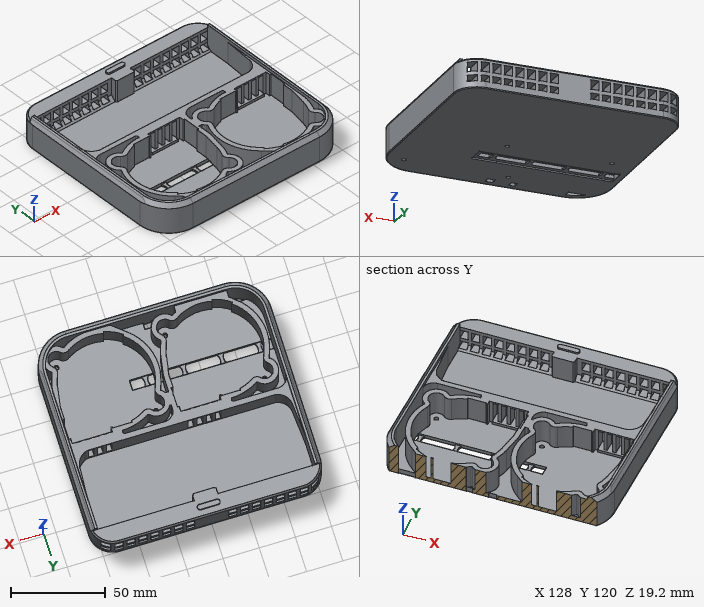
import cadquery as cq
import math

length = 128.0
width = 120.0
bottom_z = -9.6
rim_z = 9.6
deck_z = 7.5
floor_z = -6.7
front_corner_radius = 20.0
rear_corner_radius = 13.0
bottom_chamfer = 0.5
rear_chamfer = 0.9
rim_chamfer = 2.4
half_length = length / 2
half_width = width / 2

side_bevel_z = 6.7
side_bevel_slope = 0.75

side_wall = 3.8
front_wall = 4.0
cavity_half = half_length - side_wall
cavity_front = -half_width + front_wall
shelf_front = 49.9

bay_front = 6.7
bay_taper_end = 33.3
bay_corner_half = 58.8
bay_corner_top = 13.6
bay_flat_half = 51.7
bay_corner_mid = (56.6, 9.2)
ramp_depth = 3.0

window_count = 8
window_pitch = 6.59
window_width = 4.6
first_window_x = 11.6
window_rows = ((0.0, 5.4), (floor_z + 1.0, -2.2))

latch_length = 13.0
latch_front = 46.1
latch_chamfer = 0.8
key_length = 12.5
key_width = 3.0
key_y = 54.4
key_height = 1.0

fan_centers = ((-28.74, -27.0), (31.4, -27.0))
screw_offset = (21.57, -19.2)
screw_diameter = 2.4
scroll_radius = 26.0
scroll_shift = (-0.19, -0.4)
ear_radius = 4.5
ear_blend = 3.6
housing_wall = 3.0
outlet_right = 27.4
outlet_left = 5.2
outlet_top = 27.6
outlet_tangent_angle = math.radians(-10)
buttress_angle = math.radians(-130)

relief = 1.0
side_relief_y = (13.7, 24.8)
top_relief_x = (-6.3, 4.4)
top_relief_y = 25.7
scroll_relief_angles = (-127, -104)

opening_count = 4
opening_width = 3.1
opening_pitch = 5.0
opening_start = 7.2
opening_lintel = 1.0
sill_height = 1.5
sill_depth = 1.4

void_top = 3.6
void_corner_radius = 6.0
void_tip_radius = 0.8
left_void_right = -28.9
left_void_split = -10.2
left_channel_right = -44.3
right_void_x = (2.4, 31.2)
right_void_bottom = -4.2
middle_void_x = (-15.1, 25.6)
middle_void_top = -11.8
corner_void_left = 34.5
corner_void_top = -25.6

vent_y = (-28.0, -22.3)
vent_x = (-cavity_half, 18.2)
vent_rib_x = -53.0
vent_rib_pitch = 20.9
vent_rib_count = 4
vent_rib_waist = 1.9
vent_rib_flare = 3.8
vent_rib_drop = 1.0
vent_rib_thickness = 1.0
vent_groove_margin = 2.5
front_slot_top = -52.5
front_slots_x = ((-56.3, -44.3), (-15.1, -11.6), (-2.4, 1.9))


def box(x0, x1, y0, y1, z0, z1):
    return cq.Workplane("XY").box(x1 - x0, y1 - y0, z1 - z0, centered=False).translate((x0, y0, z0))


def tray_block(top_z):
    """Solid block with the rounded outline of the tray."""
    block = box(-half_length, half_length, -half_width, half_width, bottom_z, top_z)
    block = block.edges("|Z and >Y").fillet(rear_corner_radius)
    return block.edges("|Z and <Y").fillet(front_corner_radius)


def outer_shell():
    """Outer block with its front rim, lower rear shelf and bevelled upper edges."""
    block = tray_block(rim_z)
    block = block.faces("<Z").chamfer(bottom_chamfer)
    rim = box(-half_length, half_length, -half_width, width, bottom_z, rim_z)
    rim = rim.edges("|Z and <Y").fillet(front_corner_radius)
    rim = rim.faces(">Z").chamfer(rim_chamfer)
    rim = rim.intersect(box(-length, length, -width, shelf_front, bottom_z, rim_z))
    shelf = tray_block(deck_z)
    shelf = shelf.faces(">Z").chamfer(rear_chamfer)
    shelf = shelf.intersect(box(-length, length, shelf_front, width, bottom_z, deck_z))
    shell = block.intersect(rim.union(shelf))
    bevel_run = side_bevel_slope * (rim_z - side_bevel_z)
    for side in (-1, 1):
        bevel = (
            cq.Workplane("XZ")
            .polyline([
                (side * half_length, side_bevel_z),
                (side * (half_length - bevel_run), rim_z),
                (side * half_length, rim_z),
            ])
            .close()
            .extrude(half_width, both=True)
        )
        shell = shell.cut(bevel)
    return shell


def cavity(z0, z1):
    """Plan area inside the side and front walls, up to the rear shelf."""
    inner_radius = front_corner_radius - front_wall
    block = box(-cavity_half, cavity_half, cavity_front, shelf_front, z0, z1)
    return block.edges("|Z and <Y").fillet(inner_radius)


def rear_bay():
    """Rear compartment with tapered sides and a ramp at the foot of the rear wall."""
    mid_x, mid_y = bay_corner_mid
    bay = (
        cq.Workplane("XY", origin=(0, 0, floor_z))
        .moveTo(-cavity_half, shelf_front)
        .lineTo(-cavity_half, bay_taper_end)
        .lineTo(-bay_corner_half, bay_corner_top)
        .threePointArc((-mid_x, mid_y), (-bay_flat_half, bay_front))
        .lineTo(bay_flat_half, bay_front)
        .threePointArc((mid_x, mid_y), (bay_corner_half, bay_corner_top))
        .lineTo(cavity_half, bay_taper_end)
        .lineTo(cavity_half, shelf_front)
        .close()
        .extrude(deck_z - floor_z)
    )
    ramp = (
        cq.Workplane("YZ")
        .polyline([
            (shelf_front, floor_z),
            (shelf_front - ramp_depth, floor_z),
            (shelf_front, floor_z + ramp_depth),
        ])
        .close()
        .extrude(cavity_half, both=True)
    )
    latch = box(-latch_length / 2, latch_length / 2, latch_front, shelf_front, floor_z, deck_z)
    latch = latch.edges("|Z and <Y").chamfer(latch_chamfer)
    return bay.cut(ramp).cut(latch)


def rear_windows():
    windows = cq.Workplane("XY")
    for side in (-1, 1):
        for index in range(window_count):
            x = side * (first_window_x + index * window_pitch)
            for z0, z1 in window_rows:
                windows = windows.add(
                    box(x - window_width / 2, x + window_width / 2, shelf_front - ramp_depth, half_width, z0, z1)
                )
    return windows.combine()


def scroll(growth):
    """Blower plan shape about the fan center, grown outward by the given amount."""
    height = deck_z - floor_z
    radius = scroll_radius + growth
    shift_x, shift_y = scroll_shift
    body = cq.Workplane("XY", origin=(0, 0, floor_z)).center(shift_x, shift_y).circle(radius).extrude(height)
    for sign in (-1, 1):
        ear = (
            cq.Workplane("XY", origin=(0, 0, floor_z))
            .center(sign * screw_offset[0], sign * screw_offset[1])
            .circle(ear_radius + growth)
            .extrude(height)
        )
        body = body.union(ear)
    reach = ear_radius + housing_wall
    for sign in (-1, 1):
        x = sign * screw_offset[0]
        y = sign * screw_offset[1]
        near_ear = cq.selectors.BoxSelector(
            (x - reach, y - reach, floor_z - 1.3), (x + reach, y + reach, deck_z + 1.3)
        )
        body = body.edges("|Z").edges(near_ear).fillet(ear_blend - growth)
    tangent_x = shift_x + radius * math.cos(outlet_tangent_angle)
    tangent_y = shift_y + radius * math.sin(outlet_tangent_angle)
    right = outlet_right + growth
    straight_y = tangent_y - (right - tangent_x) / math.tan(outlet_tangent_angle)
    outlet = (
        cq.Workplane("XY", origin=(0, 0, floor_z))
        .polyline([
            (shift_x, shift_y),
            (tangent_x, tangent_y),
            (right, straight_y),
            (right, outlet_top + growth),
            (outlet_left - growth, outlet_top + growth),
            (outlet_left - growth, shift_y),
        ])
        .close()
        .extrude(height)
    )
    return body.union(outlet)


def scroll_relief():
    """Sector of slightly larger radius at the lower left of the scroll."""
    radius = scroll_radius + relief
    start, end = (math.radians(angle) for angle in scroll_relief_angles)
    middle = (start + end) / 2

    def rim_point(angle):
        return (radius * math.cos(angle), radius * math.sin(angle))

    return (
        cq.Workplane("XY", origin=(0, 0, floor_z))
        .lineTo(*rim_point(start))
        .threePointArc(rim_point(middle), rim_point(end))
        .close()
        .extrude(deck_z - floor_z)
        .translate((*scroll_shift, 0))
    )


def fan_pocket():
    """Blower pocket about the fan center with reliefs, outlet openings, sill and screw holes."""
    pocket = scroll(0).union(scroll_relief())
    pocket = pocket.union(box(0, outlet_right + relief, *side_relief_y, floor_z, deck_z))
    pocket = pocket.union(box(*top_relief_x, 0, top_relief_y, floor_z, deck_z))
    sill_z = floor_z + sill_height
    opening_end = opening_start + (opening_count - 1) * opening_pitch + opening_width
    pocket = pocket.cut(
        box(opening_start, opening_end, outlet_top - sill_depth, outlet_top, floor_z, sill_z)
    )
    bay_y = bay_front - fan_centers[0][1]
    for index in range(opening_count):
        x = opening_start + index * opening_pitch
        pocket = pocket.union(
            box(x, x + opening_width, outlet_top, bay_y, sill_z, deck_z - opening_lintel)
        )
    for sign in (-1, 1):
        hole = (
            cq.Workplane("XY", origin=(0, 0, bottom_z))
            .center(sign * screw_offset[0], sign * screw_offset[1])
            .circle(screw_diameter / 2)
            .extrude(floor_z - bottom_z)
        )
        pocket = pocket.union(hole)
    return pocket


def buttress():
    """Straight run of the housing wall from the lower left of the scroll to the front wall."""
    radius = scroll_radius + housing_wall
    shift_x, shift_y = scroll_shift
    start_x = shift_x + radius * math.cos(buttress_angle)
    start_y = shift_y + radius * math.sin(buttress_angle)
    front_y = cavity_front - fan_centers[0][1]
    end_x = start_x + (front_y - start_y) * -math.tan(buttress_angle)
    return (
        cq.Workplane("XY", origin=(0, 0, floor_z))
        .polyline([(start_x, start_y), (end_x, front_y), (shift_x, front_y), (shift_x, shift_y)])
        .close()
        .extrude(deck_z - floor_z)
    )


def crescent_void(x0, x1, y0):
    """Void behind an ear, with a large rear left corner and a small rounded tip."""
    void = box(x0, x1, y0, void_top, floor_z, deck_z)
    void = void.edges("|Z and <X and >Y").fillet(void_corner_radius)
    return void.edges("|Z and >X and >Y").fillet(void_tip_radius)


def housing_voids():
    """Spaces at floor level left between the blower housings and the tray walls."""
    voids = crescent_void(-cavity_half, left_void_right, left_void_split)
    voids = voids.union(
        box(-cavity_half, left_channel_right, cavity_front, left_void_split, floor_z, deck_z)
    )
    voids = voids.union(crescent_void(*right_void_x, right_void_bottom))
    voids = voids.union(box(*middle_void_x, cavity_front, middle_void_top, floor_z, deck_z))
    voids = voids.union(
        box(corner_void_left, cavity_half, cavity_front, corner_void_top, floor_z, deck_z)
    )
    voids = voids.intersect(cavity(floor_z, deck_z))
    housing = scroll(housing_wall).union(buttress())
    for x, y in fan_centers:
        voids = voids.cut(housing.translate((x, y, 0)))
    return voids


def floor_vent():
    """Long slot through the floor over a wider groove below, crossed by thin sunken ribs."""
    x0, x1 = vent_x
    y0, y1 = vent_y
    y_mid = (y0 + y1) / 2
    rib_top = floor_z - vent_rib_drop
    rib_bottom = rib_top - vent_rib_thickness
    slot = box(x0, x1, y0, y1, rib_bottom, floor_z)
    for index in range(vent_rib_count):
        x = vent_rib_x + index * vent_rib_pitch
        rib = (
            cq.Workplane("XY", origin=(0, 0, rib_bottom))
            .moveTo(x - vent_rib_flare / 2, y0)
            .threePointArc((x - vent_rib_waist / 2, y_mid), (x - vent_rib_flare / 2, y1))
            .lineTo(x + vent_rib_flare / 2, y1)
            .threePointArc((x + vent_rib_waist / 2, y_mid), (x + vent_rib_flare / 2, y0))
            .close()
            .extrude(vent_rib_thickness)
        )
        slot = slot.cut(rib)
    groove = box(
        x0, x1 + vent_groove_margin, y0 - vent_groove_margin, y1 + vent_groove_margin, bottom_z, rib_bottom
    )
    return slot.union(groove)


def front_slots():
    """Slots through the floor beside the front wall."""
    slots = cq.Workplane("XY")
    for x0, x1 in front_slots_x:
        slots = slots.add(box(x0, x1, cavity_front, front_slot_top, bottom_z, floor_z))
    return slots.combine().intersect(cavity(bottom_z, floor_z))


tray = outer_shell()
tray = tray.cut(cavity(deck_z, rim_z))
tray = tray.cut(rear_bay())
tray = tray.cut(rear_windows())
tray = tray.cut(housing_voids())
for fan_x, fan_y in fan_centers:
    tray = tray.cut(fan_pocket().translate((fan_x, fan_y, 0)))
tray = tray.cut(floor_vent())
tray = tray.cut(front_slots())

key = (
    cq.Workplane("XY", origin=(0, key_y, deck_z))
    .slot2D(key_length, key_width)
    .extrude(key_height)
)
result = tray.union(key)